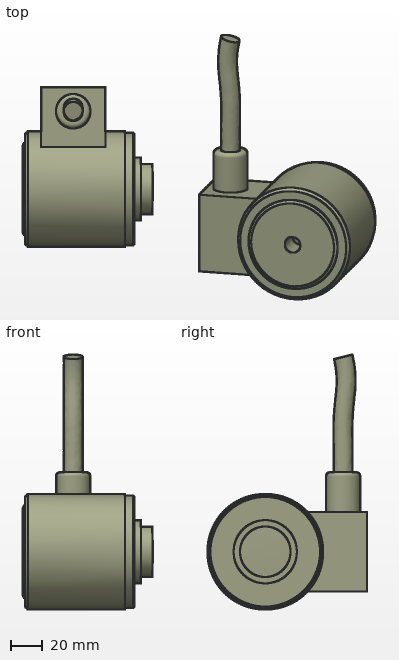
import cadquery as cq
import math

barrel_dia = 73.0
barrel_end = 64.4
rim_dia = 69.0
rim_start = 1.6
barrel_chamfer = (barrel_dia - rim_dia) / 2
mount_pad_dia = 58.0
mount_pad_chamfer = 1.0
mount_face_dia = 54.0

cover_dia = 71.0
cover_end = 70.5
cover_chamfer = (cover_dia - rim_dia) / 2
collar_dia = 39.8
collar_end = 74.5
button_dia = 31.8
button_edge = 81.8
button_tip = 82.2

mount_hole_dia = 10.1
mount_hole_depth = 19.3

block_start = 11.7
block_length = 40.5
block_height = 50.1
block_back = 64.1
block_top = block_height / 2

gland_dia = 21.7
gland_top = 50.1
gland_fillet = 2.7
gland_x = block_start + block_length / 2
gland_y = 49.0

cable_dia = 12.0
bend_start = 82.7
bend_end = 107.6
bend_offset = 2.0
cable_end = 122.7
end_lean = math.radians(14.0)


def make_barrel():
    """Barrel, cover, collar and domed button as one revolved profile (X, radius)."""
    dome_rise = button_tip - button_edge
    dome_radius = ((button_dia / 2) ** 2 + dome_rise ** 2) / (2 * dome_rise)
    dome_mid_radius = button_dia / 4
    dome_mid_x = button_tip - dome_radius + math.sqrt(dome_radius ** 2 - dome_mid_radius ** 2)
    return (
        cq.Workplane("XY")
        .moveTo(0, 0)
        .lineTo(0, mount_face_dia / 2)
        .lineTo(mount_pad_chamfer, mount_pad_dia / 2)
        .lineTo(rim_start, mount_pad_dia / 2)
        .lineTo(rim_start, rim_dia / 2)
        .lineTo(rim_start + barrel_chamfer, barrel_dia / 2)
        .lineTo(barrel_end, barrel_dia / 2)
        .lineTo(barrel_end, cover_dia / 2)
        .lineTo(cover_end - cover_chamfer, cover_dia / 2)
        .lineTo(cover_end, rim_dia / 2)
        .lineTo(cover_end, collar_dia / 2)
        .lineTo(collar_end, collar_dia / 2)
        .lineTo(collar_end, button_dia / 2)
        .lineTo(button_edge, button_dia / 2)
        .threePointArc((dome_mid_x, dome_mid_radius), (button_tip, 0))
        .close()
        .revolve(360, (0, 0, 0), (1, 0, 0))
    )


def make_block():
    """Rectangular block, started on the barrel axis so that it joins the barrel."""
    return (
        cq.Workplane("XY")
        .box(block_length, block_back, block_height, centered=(False, False, True))
        .translate((block_start, 0, 0))
    )


def make_gland():
    """Round gland with a filleted top edge."""
    return (
        cq.Workplane("XY", origin=(gland_x, gland_y, block_top))
        .circle(gland_dia / 2)
        .extrude(gland_top - block_top)
        .faces(">Z")
        .edges()
        .fillet(gland_fillet)
    )


def make_housing():
    """Barrel, block and gland in one piece, with a blind hole in the mounting face."""
    mount_hole = cq.Workplane("YZ").circle(mount_hole_dia / 2).extrude(mount_hole_depth)
    return make_barrel().union(make_block()).union(make_gland()).cut(mount_hole)


def make_cable():
    """Round cable swept from the top of the gland to its slanted cut end."""
    straight_middle = (gland_top + bend_start) / 2
    crest_y = gland_y + bend_offset
    s_bend_middle = (gland_y + bend_offset / 2, (bend_start + bend_end) / 2)
    end_y = crest_y - (cable_end - bend_end) * math.tan(end_lean / 2)
    path = (
        cq.Workplane("YZ", origin=(gland_x, 0, 0))
        .moveTo(gland_y, gland_top)
        .spline(
            [
                (gland_y, straight_middle),
                (gland_y, bend_start),
                s_bend_middle,
                (crest_y, bend_end),
                (end_y, cable_end),
            ],
            tangents=[(0, 1), (-math.sin(end_lean), math.cos(end_lean))],
            includeCurrent=True,
        )
    )
    return (
        cq.Workplane("XY", origin=(gland_x, gland_y, gland_top))
        .circle(cable_dia / 2)
        .sweep(path)
    )


housing = make_housing()
cable = make_cable()
result = cq.Compound.makeCompound([housing.val(), cable.val()])